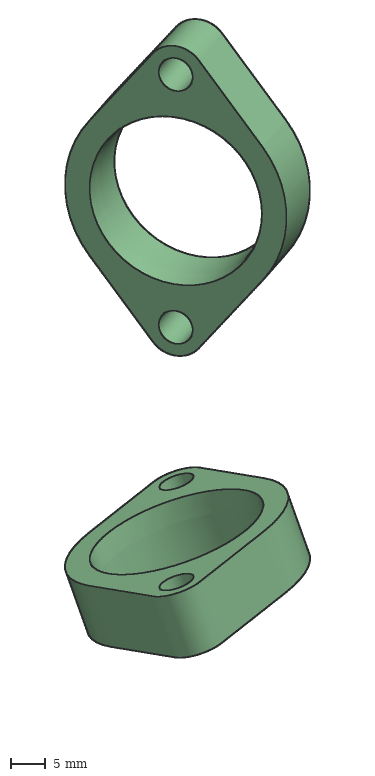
import cadquery as cq
import math

height = 48.95
width = 34.0
thickness = 10.0

bore_diameter = 26.0
bore_mouth_diameter = 26.4
taper_depth = 3.5
bolt_hole_diameter = 5.2
ear_radius = 4.5

body_radius = width / 2
bolt_offset = height / 2 - ear_radius

normal_z = (body_radius - ear_radius) / bolt_offset
normal_x = math.sqrt(1 - normal_z**2)
body_x = body_radius * normal_x
body_z = body_radius * normal_z
ear_x = ear_radius * normal_x
ear_z = bolt_offset + ear_radius * normal_z


def front_plane():
    """Workplane on the front face, at -Y, with its normal pointing to -Y."""
    return cq.Workplane("XZ", origin=(0, -thickness / 2, 0))


def flange_blank():
    return (
        front_plane()
        .moveTo(body_x, body_z)
        .lineTo(ear_x, ear_z)
        .threePointArc((0, height / 2), (-ear_x, ear_z))
        .lineTo(-body_x, body_z)
        .threePointArc((-body_radius, 0), (-body_x, -body_z))
        .lineTo(-ear_x, -ear_z)
        .threePointArc((0, -height / 2), (ear_x, -ear_z))
        .lineTo(body_x, -body_z)
        .threePointArc((body_radius, 0), (body_x, body_z))
        .close()
        .extrude(-thickness)
    )


def tapered_bore():
    """Straight bore whose front end widens in a shallow cone up to the front face."""
    mouth_radius = bore_mouth_diameter / 2
    bore_radius = bore_diameter / 2
    taper_angle = math.degrees(math.atan((mouth_radius - bore_radius) / taper_depth))
    bore = front_plane().circle(bore_radius).extrude(-thickness)
    taper = front_plane().circle(mouth_radius).extrude(-taper_depth, taper=taper_angle)
    return bore.union(taper)


def bolt_holes():
    return (
        front_plane()
        .pushPoints([(0, bolt_offset), (0, -bolt_offset)])
        .circle(bolt_hole_diameter / 2)
        .extrude(-thickness)
    )


result = flange_blank().cut(tapered_bore()).cut(bolt_holes())